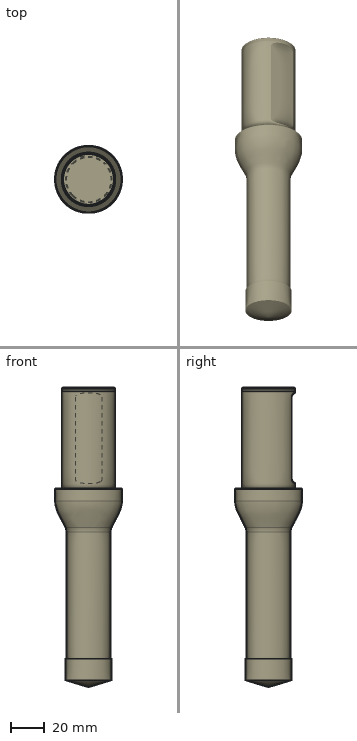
import cadquery as cq
import math

shank_length = 60.0
tool_length = 178.0

shank_radius = 31.99 / 2
shank_end_radius = 15.0
shank_chamfer_height = 0.75

groove_top_depth = 1.2
groove_bottom_depth = 2.7
groove_inset = 0.15
groove_runout_height = 0.5

flat_distance = 13.85
flat_end_margin = 3.0
flat_corner_radius = 6.0 / 2

collar_radius = 40.0 / 2
collar_chamfer = 0.5
collar_height = 7.2
underside_mid_radius = 18.95
underside_mid_z = -12.6

body_radius = 26.4 / 2
neck_angle = math.radians(25)
neck_fillet_top_z = -22.9
neck_fillet_height = 2.9

tip_radius = 27.5 / 2
tip_cone_height = 4.2
tip_length = 17.0

tip_point_z = shank_length - tool_length
tip_top_z = tip_point_z + tip_length
neck_fillet_bottom_z = neck_fillet_top_z - neck_fillet_height
neck_fillet_radius = neck_fillet_height / math.sin(neck_angle)
groove_top_z = shank_length - groove_top_depth
groove_bottom_z = shank_length - groove_bottom_depth


def neck_fillet_point(angle):
    """Point (radius, Z) on the neck fillet where its slope is angle away from the tool axis."""
    radius = body_radius + neck_fillet_radius * (1 - math.cos(angle))
    z = neck_fillet_bottom_z + neck_fillet_radius * math.sin(angle)
    return radius, z


def make_flat_cutter():
    """Block with rounded inner ends that mills the clamping flat."""
    width = 2 * shank_radius
    depth = 2 * flat_corner_radius
    length = shank_length - 2 * flat_end_margin
    return (
        cq.Workplane("XY")
        .box(width, depth, length, centered=(True, False, False))
        .edges("<Y and |X")
        .fillet(flat_corner_radius)
        .translate((0, flat_distance, flat_end_margin))
    )


def make_holder():
    """Turned body, collar and shank, with the clamping flat milled into the shank."""
    turned = (
        cq.Workplane("YZ")
        .moveTo(0, tip_top_z)
        .lineTo(body_radius, tip_top_z)
        .lineTo(body_radius, neck_fillet_bottom_z)
        .threePointArc(neck_fillet_point(neck_angle / 2), neck_fillet_point(neck_angle))
        .spline(
            [(underside_mid_radius, underside_mid_z), (collar_radius, -collar_height)],
            tangents=[(math.sin(neck_angle), math.cos(neck_angle)), (0, 1)],
            includeCurrent=True,
        )
        .lineTo(collar_radius, -collar_chamfer)
        .lineTo(collar_radius - collar_chamfer, 0)
        .lineTo(shank_radius, 0)
        .lineTo(shank_radius, groove_bottom_z)
        .lineTo(shank_radius - groove_inset, groove_bottom_z + groove_runout_height)
        .lineTo(shank_radius, groove_top_z)
        .lineTo(shank_radius, shank_length - shank_chamfer_height)
        .lineTo(shank_end_radius, shank_length)
        .lineTo(0, shank_length)
        .close()
        .revolve(360, (0, 0), (0, 1))
    )
    return turned.cut(make_flat_cutter())


def make_tip():
    """Cylindrical drill tip with a shallow point, seated on the lower end of the body."""
    return (
        cq.Workplane("YZ")
        .moveTo(0, tip_point_z)
        .lineTo(tip_radius, tip_point_z + tip_cone_height)
        .lineTo(tip_radius, tip_top_z)
        .lineTo(0, tip_top_z)
        .close()
        .revolve(360, (0, 0), (0, 1))
    )


holder = make_holder()
tip = make_tip()
result = cq.Compound.makeCompound([holder.val(), tip.val()])